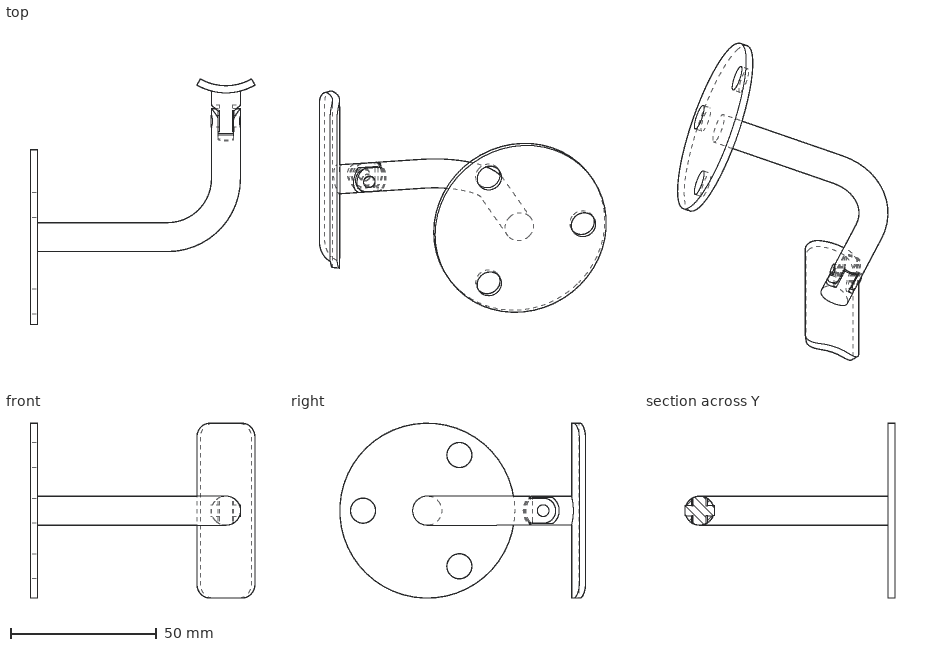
import cadquery as cq
import math

plate_radius = 30.0
plate_thickness = 2.5
screw_hole_diameter = 8.5
screw_circle_radius = 22.0
screw_hole_count = 3
screw_first_angle = 60

rod_radius = 5.0
bend_radius = 20.0
rod_axis_x = 67.0
bend_start_x = rod_axis_x - bend_radius

pin_y = 39.7
pin_radius = 2.0
pin_overhang = 0.2
fork_end_radius = 4.3
fork_clearance = 1.2
shoulder_radius = fork_end_radius + fork_clearance
tongue_width = 4.5
slot_width = 5.3
tongue_end_radius = 6.5
socket_radius = 6.85
tongue_foot_y = 36.1

saddle_outer_radius = 20.0
saddle_thickness = 2.5
saddle_inner_radius = saddle_outer_radius - saddle_thickness
saddle_width = 20.0
saddle_half_angle = math.asin(saddle_width / 2 / saddle_outer_radius)
saddle_length = 60.0
saddle_corner_radius = 5.0
saddle_tip_y = 54.25
saddle_axis_y = saddle_tip_y + saddle_inner_radius * math.cos(saddle_half_angle)


def cylinder_along_x(radius, start_x, end_x):
    """Cylinder on the pin axis between two X positions."""
    return cq.Workplane("YZ", origin=(start_x, pin_y, 0)).circle(radius).extrude(end_x - start_x)


def rod_piece(start_y, end_y):
    """Straight length of round rod along Y, on the joint axis."""
    base = cq.Workplane("XZ", origin=(rod_axis_x, start_y, 0))
    return base.circle(rod_radius).extrude(start_y - end_y)


def slab(width, start_y, end_y):
    """Block centred on the joint axis, wider than the rod in Z."""
    return cq.Workplane("XY").box(width, end_y - start_y, 4 * rod_radius).translate(
        (rod_axis_x, (start_y + end_y) / 2, 0)
    )


def joint_end(radius):
    """Cylinder round the pin axis that spans the full rod."""
    return cylinder_along_x(radius, rod_axis_x - 2 * rod_radius, rod_axis_x + 2 * rod_radius)


def joint_ball(radius):
    """Ball centred where the pin axis crosses the rod axis."""
    return cq.Workplane("XY", origin=(rod_axis_x, pin_y, 0)).sphere(radius)


def make_pin():
    """Pin that stands proud of the rod on the -X side and ends level with it on the +X side."""
    start_x = rod_axis_x - rod_radius - pin_overhang
    return cylinder_along_x(pin_radius, start_x, rod_axis_x + rod_radius)


def make_plate():
    """Disc with screw holes evenly spaced on a circle."""
    disc = cq.Workplane("YZ").circle(plate_radius).extrude(plate_thickness)
    screw_holes = (
        cq.Workplane("YZ")
        .polarArray(screw_circle_radius, screw_first_angle, 360, screw_hole_count)
        .circle(screw_hole_diameter / 2)
        .extrude(plate_thickness)
    )
    return disc.cut(screw_holes)


def make_fork():
    """Rod end with a rounded tip, a round-bottomed slot for the tongue and a hole for the pin."""
    fork_tip_y = pin_y + fork_end_radius
    straight = rod_piece(bend_radius, pin_y)
    tip = rod_piece(pin_y, fork_tip_y).intersect(joint_end(fork_end_radius))
    opening = joint_ball(socket_radius).union(slab(2 * rod_radius, pin_y, fork_tip_y))
    slot = slab(slot_width, bend_radius, fork_tip_y).intersect(opening)
    return straight.union(tip).cut(slot).cut(joint_end(pin_radius))


def make_bracket():
    """Wall plate, bent rod and fork in one piece."""
    path = (
        cq.Workplane("XY")
        .moveTo(plate_thickness, 0)
        .lineTo(bend_start_x, 0)
        .radiusArc((rod_axis_x, bend_radius), -bend_radius)
    )
    rod = cq.Workplane("YZ", origin=(plate_thickness, 0, 0)).circle(rod_radius).sweep(path)
    return make_plate().union(rod).union(make_fork())


def make_saddle():
    """Curved strip with rounded corners, hollow side facing +Y."""
    outer_tip_x = saddle_width / 2
    outer_tip_y = -saddle_outer_radius * math.cos(saddle_half_angle)
    inner_tip_x = saddle_inner_radius * math.sin(saddle_half_angle)
    inner_tip_y = -saddle_inner_radius * math.cos(saddle_half_angle)
    strip = (
        cq.Workplane("XY", origin=(rod_axis_x, saddle_axis_y, -saddle_length / 2))
        .moveTo(-outer_tip_x, outer_tip_y)
        .threePointArc((0, -saddle_outer_radius), (outer_tip_x, outer_tip_y))
        .lineTo(inner_tip_x, inner_tip_y)
        .threePointArc((0, -saddle_inner_radius), (-inner_tip_x, inner_tip_y))
        .close()
        .extrude(saddle_length)
    )
    return strip.faces("<Z or >Z").edges("%LINE").fillet(saddle_corner_radius)


def make_rail_support():
    """Saddle, stem, tongue and pin in one piece.

    The tongue is domed at its end, where a wider foot fills the fork slot.
    """
    round_end = rod_piece(bend_radius, pin_y).intersect(joint_ball(tongue_end_radius))
    stem = rod_piece(pin_y, saddle_axis_y).union(round_end)
    saddle_hollow = (
        cq.Workplane("XY", origin=(rod_axis_x, saddle_axis_y, -rod_radius))
        .circle((saddle_inner_radius + saddle_outer_radius) / 2)
        .extrude(2 * rod_radius)
    )
    fork_space = joint_end(shoulder_radius).union(slab(3 * rod_radius, bend_radius, pin_y))
    tongue_blade = slab(tongue_width, tongue_foot_y, saddle_axis_y)
    tongue_foot = slab(slot_width, bend_radius, tongue_foot_y)
    cheeks = fork_space.cut(tongue_blade).cut(tongue_foot)
    return stem.cut(saddle_hollow).cut(cheeks).union(make_saddle()).union(make_pin())


bracket = make_bracket()
rail_support = make_rail_support()
result = cq.Compound.makeCompound([bracket.val(), rail_support.val()])